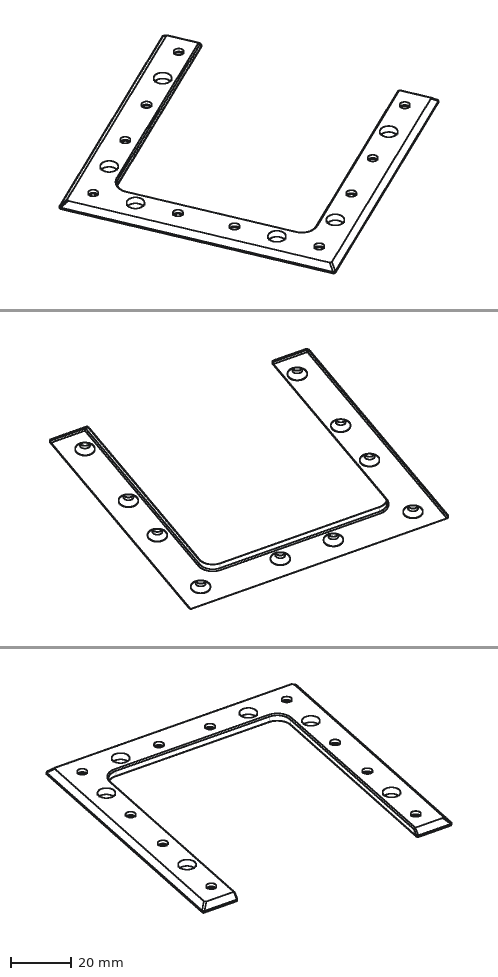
import cadquery as cq
side = 97.6
thickness = 3.0

outer_bevel = 2.0
edge_chamfer = 0.5

window_half = 35.0
window_radius = 5.0

leg_offset = 40.0
inner_screw_offset = leg_offset / 4
pocket_offset = (leg_offset + inner_screw_offset) / 2

screw_diameter = 3.4
countersink_diameter = 6.5
countersink_rim = 0.2
countersink_depth = (countersink_diameter - screw_diameter) / 2

pocket_diameter = 6.0
pocket_depth = 2.5


def make_bevelled_square():
    """Square plate with its outer top edges bevelled."""
    square = cq.Workplane("XY").rect(side, side).extrude(thickness)
    return square.faces(">Z").chamfer(outer_bevel)


def cut_window(plate):
    """Rounded opening that runs out through the +Y side."""
    length = side / 2 + window_half
    window = (
        cq.Workplane("XY")
        .center(0, length / 2 - window_half)
        .rect(2 * window_half, length)
        .extrude(thickness)
        .edges("|Z and <Y")
        .fillet(window_radius)
    )
    return plate.cut(window)


def chamfer_edges(plate):
    """Chamfer the bottom, corner and window edges, leaving the long edges of the bevel sharp."""
    margin = 0.1
    reach = window_half + margin
    window_top = cq.selectors.BoxSelector(
        (-reach, -reach, thickness - margin),
        (reach, side / 2, thickness + margin),
    )
    bottom_and_corners = plate.edges("<Z or (not #Z)")
    return bottom_and_corners.add(plate.edges(window_top)).chamfer(edge_chamfer)


def leg_points(offset):
    """Spots at plus and minus the offset along the centre lines of the three legs."""
    points = set()
    for along in (-offset, offset):
        points.add((-leg_offset, along))
        points.add((leg_offset, along))
        points.add((along, -leg_offset))
    return sorted(points)


def make_screw_cutter():
    """Through hole with its countersink opening at the bottom face."""
    hole_radius = screw_diameter / 2
    rim_radius = countersink_diameter / 2
    return (
        cq.Workplane("XZ")
        .lineTo(rim_radius, 0)
        .lineTo(rim_radius, countersink_rim)
        .lineTo(hole_radius, countersink_rim + countersink_depth)
        .lineTo(hole_radius, thickness)
        .lineTo(0, thickness)
        .close()
        .revolve(360, (0, 0), (0, 1))
    )


def make_pocket_cutter():
    """Cylinder that reaches down from the top face."""
    floor = thickness - pocket_depth
    return cq.Workplane("XY", origin=(0, 0, floor)).circle(pocket_diameter / 2).extrude(pocket_depth)


def cut_at(plate, cutter, points):
    """Remove a copy of the cutter at each point."""
    for x, y in points:
        plate = plate.cut(cutter.translate((x, y, 0)))
    return plate


result = chamfer_edges(cut_window(make_bevelled_square()))
for screw_offset in (leg_offset, inner_screw_offset):
    result = cut_at(result, make_screw_cutter(), leg_points(screw_offset))
result = cut_at(result, make_pocket_cutter(), leg_points(pocket_offset))